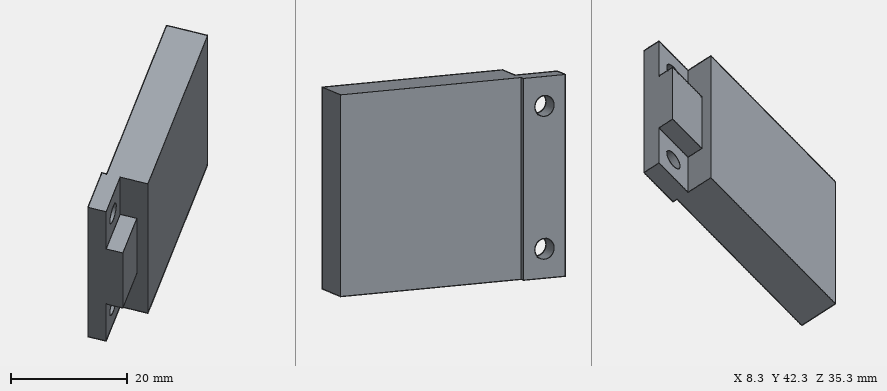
import cadquery as cq

thickness = 8.3
length = 42.3
height = 35.3

flange_length = 8.0
flange_thickness = 3.3
block_height = 15.0

body_recess = 0.9
cover_thickness = 2.0
cover_start = thickness - cover_thickness

hole_diameter = 3.65
hole_front_offset = 3.98
hole_spacing = 25.0


def box_between(x_start, x_end, y_start, y_end, box_height):
    """Box spanning the given X and Y ranges, centred in Z."""
    return (
        cq.Workplane("XY")
        .box(x_end - x_start, y_end - y_start, box_height, centered=(False, False, True))
        .translate((x_start, y_start, 0))
    )


plate = box_between(body_recess, thickness, flange_length, length, height)
flange = box_between(0, flange_thickness, 0, flange_length, height)
block = box_between(0, cover_start, 0, flange_length, block_height)

holes = (
    cq.Workplane("YZ")
    .pushPoints([(hole_front_offset, side * hole_spacing / 2) for side in (-1, 1)])
    .circle(hole_diameter / 2)
    .extrude(flange_thickness)
)

result = plate.union(flange).union(block).cut(holes)